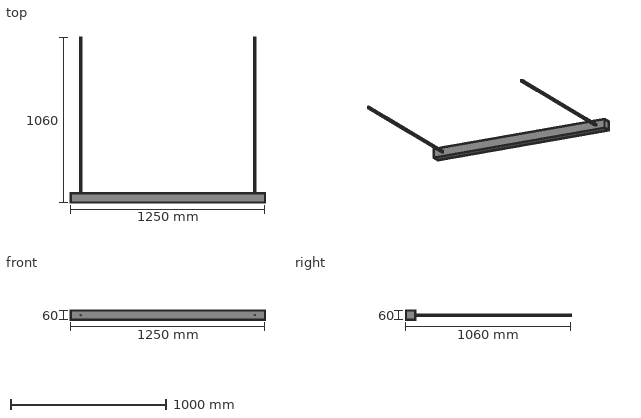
import cadquery as cq

bar_length = 1250.0
bar_side = 60.0

rod_length = 1000.0
rod_diameter = 10.0
rod_spacing = 1120.0

bar = cq.Workplane("XY").box(bar_length, bar_side, bar_side)

rods = (
    cq.Workplane("XZ")
    .pushPoints([(-rod_spacing / 2, 0), (rod_spacing / 2, 0)])
    .circle(rod_diameter / 2)
    .extrude(-(bar_side / 2 + rod_length))
)

result = bar.union(rods)